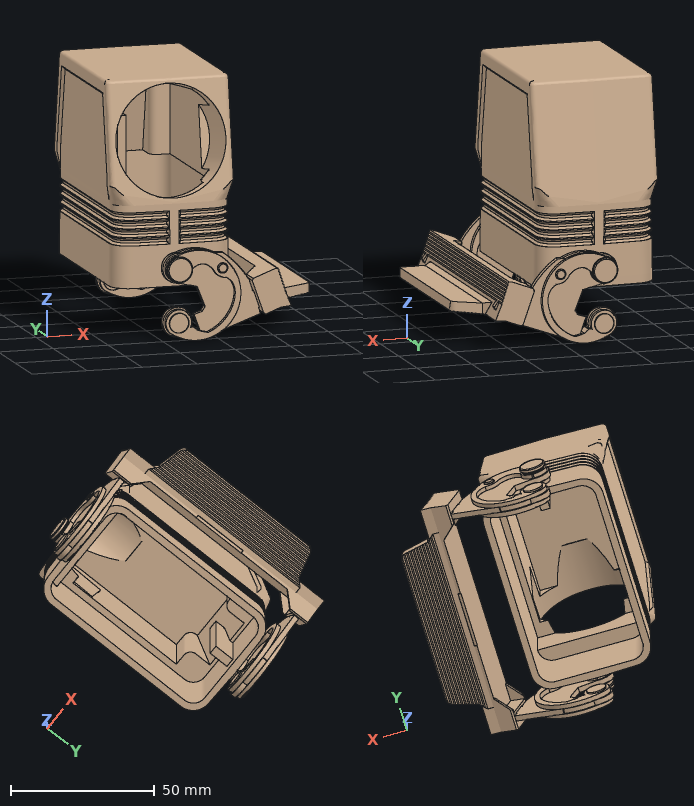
import cadquery as cq
import math


HOOD_TOP = 72.7
RIM_TOP = 3.0
SKIRT_TOP = 29.2
SHOULDER_TOP = 36.3
RIM_HALF = (21.6, 36.3)
SKIRT_HALF = (21.2, 36.1)
SHOULDER_HALF = (22.45, 35.25)
SKIRT_CORNER = 7.0
HEAD_CORNER = 1.7
HEAD_TOP_ROUND = 1.6
HEAD_HALF_X = 22.45
END_SLOPE = math.radians(9.8)
END_RIDGE = 0.45
SKIRT_RIDGE = 0.65
END_FOOT_Y = 36.13

GROOVE_COUNT = 4
GROOVE_PITCH = 3.05
GROOVE_OPENING = 2.6
GROOVE_DEPTH = 0.85
GROOVES_TOP = 26.8
GROOVE_GAP_HALF = 1.5

RECESS_DEPTH = 1.0
RECESS_TOP = 66.7
RECESS_TOP_HALF = 23.2
RECESS_KNEE = 39.2
RECESS_FOOT_HALF = 28.4

CAVITY_STEP = 34.4
CAVITY_TOP = 66.7
LOWER_HALF = (19.0, 33.5)
LOWER_CORNER = 5.0
SHELF_Z = 22.0
SHELF_Y = -28.3
UPPER_HALF = (16.6, 23.0)
POCKET_HALF_X = 9.5
POCKET_ROUND = 3.0
END_WALL = 3.0
ENTRY_RADIUS = 20.0
ENTRY_Z = 50.9
ENTRY_DEPTH = 20.0
GUIDE_HALF = 1.6
GUIDE_TOP = 48.3
GUIDE_Y = 26.0
GUIDE_FOOT = 7.0

INNER_FACE = 36.2
SHEET_BACK = 37.9
SHEET_FRONT = 39.9
OUTER_FACE = 41.4
STUD_BACK = 35.7
STUD_FRONT = 42.0
PIN_END = 43.45

PIN = (0.0, 7.1)
PIN_RADIUS = 4.5
PIN_NECK = 3.9
PIN_HEAD_LENGTH = 1.6
PIN_CHAMFER = 0.35
HOOK = (0.0, -12.0)
EYE_RADIUS = 5.3
CHEEK_EYE_RADIUS = 4.65
STUD_RADIUS = 3.5
CAM = (6.55, -2.64)
CAM_RADIUS = 16.0
SHEET_INSET = 0.75
MOUTH_TOP = 1.9
MOUTH_OVERLAP = 3.3
RIVET = (15.9, 6.6)
RIVET_RADIUS = 1.85
RIVET_CHAMFER = 0.4

BAR_HALF = 43.3
BAR_TILT = math.radians(19.5)
BAR_CORNER = (25.9, 2.4)
BAR_WIDTH = 9.7
BAR_HEIGHT = 13.8
BAR_EDGE = 0.6
BAR_RELIEF = 5.4
RELIEF_HALF = 36.0
SET_BACK_HALF = 37.0
FLANGE = 1.1
NOTCH_HALF = 10.0
NOTCH_DEPTH = 1.8
NOTCH_HEIGHT = 0.5
TONGUE_TOP = 5.0
TONGUE_BOTTOM = 11.5
TONGUE_ROOT = 1.0
TOOTH_PITCH = 1.2
TOOTH_DEPTH = 0.25
GRIP_ROOT = (36.5, -8.3)
GRIP_TIP = (51.92, -6.7)
GRIP_ROUND = 2.6


def rounded_rect(half, corner, z):
    plan = cq.Sketch().rect(2 * half[0], 2 * half[1]).vertices().fillet(corner)
    return cq.Workplane("XY", origin=(0, 0, z)).placeSketch(plan)


def ridged_points(half, ridge):
    """Rectangle whose two ends are bent outward to a ridge at X = 0; half reaches to the ridge."""
    x, ridge_end = half
    edge = ridge_end - ridge
    return [(x, -edge), (x, edge), (0, ridge_end), (-x, edge), (-x, -edge), (0, -ridge_end)]


def ridged_plan(half, corner):
    points = ridged_points(half, SKIRT_RIDGE)
    plan = cq.Sketch().polygon(points + points[:1])
    return plan.vertices("<X or >X").fillet(corner)


def between(low_plan, z_low, high_plan, z_high):
    """Straight-sided body between two plans."""
    raised = high_plan.moved(cq.Location(cq.Vector(0, 0, z_high - z_low)))
    return cq.Workplane("XY", origin=(0, 0, z_low)).placeSketch(low_plan, raised).loft(ruled=True)


def slab(y_low, y_high):
    """Workplane for an XZ outline; extrude by -(y_high - y_low) to fill the slab."""
    return cq.Workplane("XZ", origin=(0, y_low, 0))


def disc(center, radius, y_low, y_high):
    return slab(y_low, y_high).center(*center).circle(radius).extrude(y_low - y_high)


def outline(points, y_low, y_high):
    return slab(y_low, y_high).polyline(points).close().extrude(y_low - y_high)


def ridge_y(z):
    """Y of the end face's ridge at height z."""
    return END_FOOT_Y - (z - SKIRT_TOP) * math.tan(END_SLOPE)


def head_plan(z):
    return ridged_points((HEAD_HALF_X, ridge_y(z)), END_RIDGE)


def head():
    """Upper block with slanted, slightly ridged ends, trimmed by the shoulder."""
    block = (
        cq.Workplane("XY", origin=(0, 0, SKIRT_TOP))
        .polyline(head_plan(SKIRT_TOP))
        .close()
        .workplane(offset=HOOD_TOP - SKIRT_TOP)
        .polyline(head_plan(HOOD_TOP))
        .close()
        .loft(ruled=True)
    )
    for x_side in (-1, 1):
        for y_side in (-1, 1):
            middle_z = (SKIRT_TOP + HOOD_TOP) / 2
            near = (x_side * HEAD_HALF_X, y_side * (ridge_y(middle_z) - END_RIDGE), middle_z)
            block = block.edges(cq.NearestToPointSelector(near)).fillet(HEAD_CORNER)
    block = block.faces(">Z").edges().fillet(HEAD_TOP_ROUND)
    shoulder = between(
        ridged_plan(SKIRT_HALF, SKIRT_CORNER),
        SKIRT_TOP,
        ridged_plan(SHOULDER_HALF, HEAD_CORNER),
        SHOULDER_TOP,
    )
    above = cq.Workplane("XY", origin=(0, 0, SHOULDER_TOP)).box(
        3 * HEAD_HALF_X, 3 * END_FOOT_Y, HOOD_TOP, centered=(True, True, False)
    )
    return block.intersect(shoulder.union(above))


def skirt():
    rim_plan = ridged_plan(RIM_HALF, SKIRT_CORNER)
    rim = cq.Workplane("XY").placeSketch(rim_plan).extrude(RIM_TOP)
    wall = between(rim_plan, RIM_TOP, ridged_plan(SKIRT_HALF, SKIRT_CORNER), SKIRT_TOP)
    return rim.union(wall)


def grip_groove(z_middle):
    """Ring-shaped trapezoidal groove, left out at the middle of both ends."""
    half_height = GROOVE_OPENING / 2
    z_low = z_middle - half_height
    z_high = z_middle + half_height
    mouth_plan = ridged_plan(SKIRT_HALF, SKIRT_CORNER)
    floor_half = [side - GROOVE_DEPTH for side in SKIRT_HALF]
    floor_plan = ridged_plan(floor_half, SKIRT_CORNER - GROOVE_DEPTH)
    ring = cq.Workplane("XY", origin=(0, 0, z_middle)).box(
        3 * SKIRT_HALF[0], 3 * SKIRT_HALF[1], GROOVE_OPENING
    )
    floor_level = cq.Workplane("XY", origin=(0, 0, z_low))
    ring = ring.cut(floor_level.placeSketch(floor_plan).extrude(GROOVE_OPENING))
    ring = ring.cut(between(mouth_plan, z_low, floor_plan, z_low + GROOVE_DEPTH))
    ring = ring.cut(between(floor_plan, z_high - GROOVE_DEPTH, mouth_plan, z_high))
    return ring.cut(end_strips(z_low))


def end_strips(z_low):
    y_out = RIM_HALF[1]
    y_in = SKIRT_HALF[1] - GROOVE_DEPTH
    foot = GROOVE_GAP_HALF + y_out - y_in
    strip = (
        cq.Workplane("XY", origin=(0, 0, z_low))
        .polyline([(-foot, y_in), (foot, y_in), (GROOVE_GAP_HALF, y_out), (-GROOVE_GAP_HALF, y_out)])
        .close()
        .extrude(GROOVE_OPENING)
    )
    return strip.union(strip.mirror("XZ"))


def side_recess():
    """Shallow panel for the -X side whose edges slope outward at 45 degrees."""

    def panel(x, grow):
        top = RECESS_TOP + grow
        foot = RECESS_FOOT_HALF + grow
        top_half = RECESS_TOP_HALF + grow
        half_plan = [(foot, SKIRT_TOP), (foot, RECESS_KNEE), (top_half, top)]
        other = [(-y, z) for y, z in reversed(half_plan)]
        return cq.Workplane("YZ", origin=(x, 0, 0)).polyline(half_plan + other).close()

    floor_x = RECESS_DEPTH - HEAD_HALF_X
    floor = panel(floor_x, 0).vals()[0]
    mouth = panel(-HEAD_HALF_X, RECESS_DEPTH).vals()[0]
    return cq.Workplane(cq.Solid.makeLoft([floor, mouth], True))


def cavity():
    """Open-bottomed inside: wide below, narrower in the head, with a pocket at the +Y end."""
    lower = rounded_rect(LOWER_HALF, LOWER_CORNER, 0).extrude(CAVITY_STEP)
    shelf_length = LOWER_HALF[1] + SHELF_Y
    shelf = cq.Workplane("XY", origin=(0, SHELF_Y - shelf_length, SHELF_Z)).box(
        2 * LOWER_HALF[0], shelf_length, CAVITY_STEP - SHELF_Z, centered=(True, False, False)
    )
    return lower.cut(shelf).union(upper_cavity())


def upper_cavity():
    """Box-shaped room with a pocket that follows the slanted +Y end."""
    height = CAVITY_TOP - CAVITY_STEP
    room = cq.Workplane("XY", origin=(0, 0, CAVITY_STEP)).box(
        2 * UPPER_HALF[0], 2 * UPPER_HALF[1], height, centered=(True, True, False)
    )
    y_foot = ridge_y(CAVITY_STEP) - END_WALL
    y_top = ridge_y(CAVITY_TOP) - END_WALL
    profile = [(0, CAVITY_STEP), (y_foot, CAVITY_STEP), (y_top, CAVITY_TOP), (0, CAVITY_TOP)]
    pocket = (
        cq.Workplane("YZ", origin=(-POCKET_HALF_X, 0, 0))
        .polyline(profile)
        .close()
        .extrude(2 * POCKET_HALF_X)
    )
    room = room.union(pocket)
    for side in (-1, 1):
        mouth_edge = (side * POCKET_HALF_X, UPPER_HALF[1], CAVITY_STEP + height / 2)
        room = room.edges(cq.NearestToPointSelector(mouth_edge)).fillet(POCKET_ROUND)
    return room


def cable_entry():
    """Round bore square to the slanted -Y end."""
    outward = cq.Vector(0, -math.cos(END_SLOPE), math.sin(END_SLOPE))
    face_point = cq.Vector(0, -ridge_y(ENTRY_Z), ENTRY_Z)
    start = face_point - outward * ENTRY_DEPTH
    return cq.Workplane(cq.Solid.makeCylinder(ENTRY_RADIUS, 2 * ENTRY_DEPTH, start, outward))


def guide_rib():
    """Upright rib on the inside of the +Y end."""
    y_end = RIM_HALF[1] - END_WALL / 2
    profile = cq.Workplane("YZ", origin=(-GUIDE_HALF, 0, 0)).polyline(
        [
            (GUIDE_Y, GUIDE_FOOT),
            (y_end, GUIDE_FOOT),
            (y_end, CAVITY_STEP),
            (ridge_y(GUIDE_TOP) - END_WALL / 2, GUIDE_TOP),
            (GUIDE_Y, GUIDE_TOP),
        ]
    )
    return profile.close().extrude(2 * GUIDE_HALF)


def hood():
    body = skirt().union(head())
    for index in range(GROOVE_COUNT):
        z_middle = GROOVES_TOP - GROOVE_OPENING / 2 - index * GROOVE_PITCH
        body = body.cut(grip_groove(z_middle))
    recess = side_recess()
    body = body.cut(recess).cut(recess.mirror("YZ"))
    return body.cut(cavity()).cut(cable_entry()).union(guide_rib())


def lever_mouth(y_low, y_high):
    """Opening of the C-shaped lever, towards -X between pin and hook."""
    far_left = CAM[0] - 2 * CAM_RADIUS
    return outline(
        [
            (far_left, PIN[1] + MOUTH_OVERLAP),
            (PIN[0], PIN[1] + MOUTH_OVERLAP),
            (PIN[0], MOUTH_TOP),
            (7.2, 0.1),
            (10.0, -7.0),
            (8.9, -8.7),
            (6.0, -9.6),
            (8.1, -15.3),
            (7.1, -15.1),
            (5.6, -13.7),
            (4.8, HOOK[1] - MOUTH_OVERLAP / 2),
            (HOOK[0], HOOK[1] - MOUTH_OVERLAP),
            (far_left, HOOK[1] - MOUTH_OVERLAP),
        ],
        y_low,
        y_high,
    )


def sheet():
    """Middle layer: C-shaped hook with a tail that carries the handle bar."""
    levels = (SHEET_BACK, SHEET_FRONT)
    thickness = SHEET_FRONT - SHEET_BACK
    plate = disc(CAM, CAM_RADIUS - SHEET_INSET, *levels)
    tail = (
        slab(*levels)
        .moveTo(*CAM)
        .lineTo(14.0, 11.85)
        .lineTo(16.5, 11.75)
        .threePointArc((21.8, 7.2), (25.9, 1.8))
        .lineTo(30.2, -10.8)
        .lineTo(12.8, -17.1)
        .close()
        .extrude(-thickness)
    )
    plate = plate.union(tail).cut(lever_mouth(*levels))
    tongue = outline(
        [
            bar_point(-TONGUE_ROOT, TONGUE_TOP),
            (37.4, -0.9),
            (38.3, -1.8),
            (39.6, -3.7),
            bar_point(BAR_WIDTH, TONGUE_BOTTOM),
            bar_point(-TONGUE_ROOT, TONGUE_BOTTOM),
        ],
        *levels,
    )
    plate = plate.union(tongue)
    return plate.union(disc(PIN, EYE_RADIUS, *levels)).union(disc(HOOK, EYE_RADIUS, *levels))


def cheek(y_low, y_high):
    """Crescent-shaped stiffening layer on one face of the sheet."""
    crescent = disc(CAM, CAM_RADIUS, y_low, y_high).cut(lever_mouth(y_low, y_high))
    hollow = (
        slab(y_low, y_high)
        .moveTo(PIN[0], MOUTH_TOP)
        .lineTo(4.6, 6.6)
        .spline([(8.2, 8.4), (12.6, 6.2)], includeCurrent=True)
        .spline([(14.5, 3.9), (17.4, 3.1)], includeCurrent=True)
        .spline([(20.3, -0.6), (20.2, -5.0), (16.8, -11.6), (10.6, -16.0)], includeCurrent=True)
        .lineTo(8.0, -15.4)
        .lineTo(5.0, HOOK[1])
        .close()
        .extrude(y_low - y_high)
    )
    crescent = crescent.cut(hollow)
    for eye in (PIN, HOOK):
        crescent = crescent.union(disc(eye, CHEEK_EYE_RADIUS, y_low, y_high))
    return crescent


def lever():
    arm = sheet().union(cheek(INNER_FACE, SHEET_BACK)).union(cheek(SHEET_FRONT, OUTER_FACE))
    arm = arm.union(disc(HOOK, STUD_RADIUS, STUD_BACK, STUD_FRONT))
    rivet = disc(RIVET, RIVET_RADIUS, SHEET_FRONT, STUD_FRONT).faces(">Y").chamfer(RIVET_CHAMFER)
    head_start = PIN_END - PIN_HEAD_LENGTH
    pin_head = disc(PIN, PIN_RADIUS, head_start, PIN_END).faces("<Y or >Y").chamfer(PIN_CHAMFER)
    neck = disc(PIN, PIN_NECK, RIM_HALF[1] - END_WALL / 2, PIN_END)
    return arm.union(rivet).union(pin_head).union(neck)


def bar_point(across, down):
    """Point of the tilted bar section, measured from its upper inner corner."""
    x = BAR_CORNER[0] + across * math.cos(BAR_TILT) + down * math.sin(BAR_TILT)
    z = BAR_CORNER[1] + across * math.sin(BAR_TILT) - down * math.cos(BAR_TILT)
    return (x, z)


def bar_relief(across, half_length):
    """Wedge-ended cut on the bar's inner side; its ends slope at 45 degrees."""
    plan = [
        (-across, half_length + across),
        (across, half_length - across),
        (across, across - half_length),
        (-across, -half_length - across),
    ]
    tool = cq.Workplane("XY").polyline(plan).close().extrude(2 * BAR_HEIGHT, both=True)
    tool = tool.rotate((0, 0, 0), (0, 1, 0), -math.degrees(BAR_TILT))
    return tool.translate((BAR_CORNER[0], 0, BAR_CORNER[1]))


def teeth(start, end):
    """Points of a serrated line from start to end, with its notches on the line's left."""
    length = math.dist(start, end)
    along = ((end[0] - start[0]) / length, (end[1] - start[1]) / length)
    count = round(length / TOOTH_PITCH)
    points = []
    for index in range(2 * count + 1):
        travel = index * length / (2 * count)
        depth = TOOTH_DEPTH * (index % 2)
        x = start[0] + travel * along[0] - depth * along[1]
        z = start[1] + travel * along[1] + depth * along[0]
        points.append((x, z))
    return points


def grip():
    """Finger tab along the middle of the bar, serrated below, narrowing to a rounded end."""
    top_side = [(GRIP_ROOT[0], -3.3), (38.4, -3.3), (41.2, -4.0), (50.8, -3.3), (51.62, -3.25)]
    section = outline(
        top_side + teeth(GRIP_TIP, (38.6, -8.1)) + [GRIP_ROOT],
        -BAR_HALF,
        BAR_HALF,
    )
    half_plan = [(34.0, 33.7), (38.6, 33.7), (41.2, 31.3), (GRIP_TIP[0], 28.6)]
    other = [(x, -y) for x, y in reversed(half_plan)]
    plan = cq.Workplane("XY").polyline(half_plan + other).close()
    plan = plan.extrude(BAR_HEIGHT, both=True).edges("|Z and >X").fillet(GRIP_ROUND)
    return section.intersect(plan)


def bar_box(across, down, half_length):
    """Block in the bar's tilted frame; across and down are (from, to) pairs."""
    corners = [
        bar_point(across[0], down[0]),
        bar_point(across[1], down[0]),
        bar_point(across[1], down[1]),
        bar_point(across[0], down[1]),
    ]
    return outline(corners, -half_length, half_length)


def handle_bar():
    serrated_back = teeth((35.4, 5.7), (38.0, -2.2))
    bar = outline(
        [bar_point(0, BAR_EDGE), bar_point(BAR_EDGE, 0), (34.1, 5.5)]
        + serrated_back
        + [(40.4, -7.9), GRIP_ROOT, (34.2, -9.2)]
        + [bar_point(BAR_EDGE, BAR_HEIGHT), bar_point(0, BAR_HEIGHT - BAR_EDGE)],
        -BAR_HALF,
        BAR_HALF,
    )
    bar = bar.cut(bar_relief(BAR_RELIEF, RELIEF_HALF))
    bar = bar.cut(bar_box((-BAR_WIDTH, BAR_RELIEF), (FLANGE, BAR_HEIGHT - FLANGE), SET_BACK_HALF))
    notch_across = (-BAR_WIDTH, BAR_RELIEF + NOTCH_DEPTH)
    notch_down = (BAR_HEIGHT - NOTCH_HEIGHT, 2 * BAR_HEIGHT)
    bar = bar.cut(bar_box(notch_across, notch_down, NOTCH_HALF))
    return bar.union(grip())


arm = lever()
result = hood().union(arm).union(arm.mirror("XZ")).union(handle_bar())